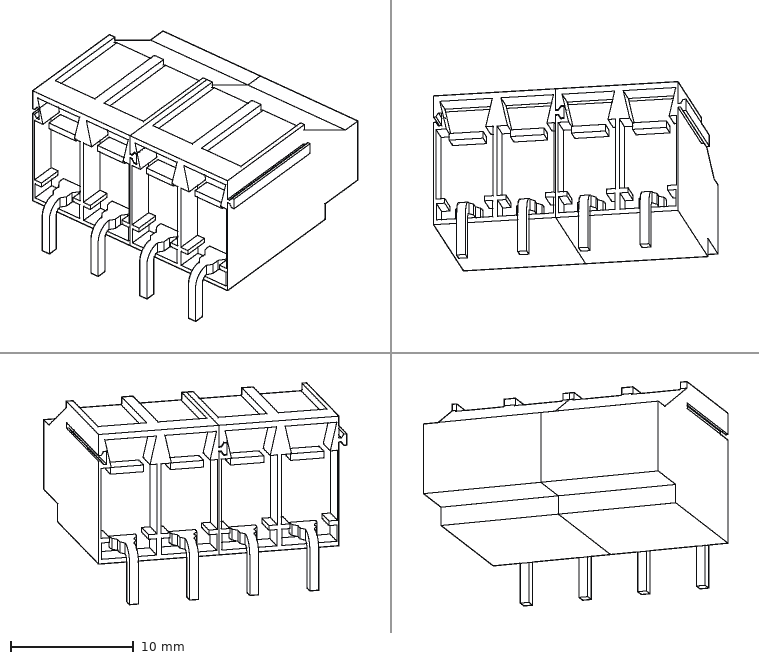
import cadquery as cq

MODULE_COUNT = 2
MODULE_WIDTH = 10.15
HOUSING_HEIGHT = 11.0
HOUSING_DEPTH = 17.07
TOP_DEPTH = 10.07
TOP_STEP = 0.57
REAR_LEDGE_HEIGHT = 7.47
REAR_LEDGE_DEPTH = 1.64
FOOT_DEPTH = 12.8
FOOT_HEIGHT = 1.55

POLES_PER_MODULE = 2
FIRST_POLE_X = 2.58
POLE_PITCH = 5.07

CAVITY_DEPTH = 2.18
CAVITY_WIDTH = 4.74
CAVITY_TOP = 8.12
LOWER_CAVITY_WIDTH = 4.65
LOWER_CAVITY_FLOOR = 0.4
RIB_BOTTOM = 1.78
RIB_TOP = 2.18
RIB_GAP = 3.3
FUNNEL_OFFSET = 0.13
FUNNEL_TOP = 10.5
FUNNEL_TOP_WIDTH = 4.36
FUNNEL_BOTTOM_WIDTH = 3.27

RECESS_OFFSET = 0.05
RECESS_WIDTH = 4.1
RECESS_FRONT = 2.26
RECESS_DROP = 0.71

DOVETAIL_LEVEL = 8.98
DOVETAIL_LENGTH = 9.96
DOVETAIL_NECK_HEIGHT = 0.34
DOVETAIL_HEAD_HEIGHT = 0.96
DOVETAIL_NECK_REACH = 0.2
DOVETAIL_HEAD_START = 0.42
DOVETAIL_REACH = 0.67
GROOVE_CLEARANCE = 0.06

TAB_WIDTH = 2.8
TAB_FRONT = 0.67
TAB_BOTTOM = 7.35
TAB_THICKNESS = 0.57

PIN_WIDTH = 0.75
PIN_THICKNESS = 0.92
PIN_TOP = 1.65
PIN_REACH = 1.5
PIN_DROP = 3.19
PIN_BEND_RADIUS = 1.4
PIN_WAIST_HALF_WIDTH = 0.7
PIN_WAIST_FRONT = 0.34
PIN_WAIST_REAR = 1.05
PIN_SHOULDER_HALF_WIDTH = 1.05
PIN_SHOULDER_Y = 1.5
PIN_ROOT_HALF_WIDTH = 1.11
PIN_ROOT_Y = 1.85

POLE_XS = [FIRST_POLE_X + pole * POLE_PITCH for pole in range(POLES_PER_MODULE)]


def block(x_range, y_range, z_range):
    """Box between two limits along each axis."""
    corners = list(zip(x_range, y_range, z_range))
    size = [high - low for low, high in zip(*corners)]
    return cq.Workplane("XY").box(*size, centered=False).translate(corners[0])


def centered_range(center, width):
    return center - width / 2, center + width / 2


def extrude_back(outline, depth):
    """Extrude a closed (x, z) outline from the front face toward +Y."""
    return cq.Workplane("XZ").polyline(outline).close().extrude(-depth)


def housing_blank():
    profile = [
        (0, 0),
        (FOOT_DEPTH, 0),
        (FOOT_DEPTH, FOOT_HEIGHT),
        (HOUSING_DEPTH, FOOT_HEIGHT),
        (HOUSING_DEPTH, REAR_LEDGE_HEIGHT),
        (HOUSING_DEPTH - REAR_LEDGE_DEPTH, REAR_LEDGE_HEIGHT),
        (TOP_DEPTH, HOUSING_HEIGHT - TOP_STEP),
        (TOP_DEPTH, HOUSING_HEIGHT),
        (0, HOUSING_HEIGHT),
    ]
    return cq.Workplane("YZ").polyline(profile).close().extrude(MODULE_WIDTH)


def pole_cavity(pole_x):
    """Front opening of one pole: wide chamber, funnel above it, rib gap and lower chamber below."""
    depth_range = (0, CAVITY_DEPTH)
    chamber = block(centered_range(pole_x, CAVITY_WIDTH), depth_range, (RIB_TOP, CAVITY_TOP))
    rib_gap = block(centered_range(pole_x, RIB_GAP), depth_range, (RIB_BOTTOM, RIB_TOP))
    lower_chamber = block(
        centered_range(pole_x, LOWER_CAVITY_WIDTH), depth_range, (LOWER_CAVITY_FLOOR, RIB_BOTTOM)
    )
    funnel_x = pole_x + FUNNEL_OFFSET
    bottom_left, bottom_right = centered_range(funnel_x, FUNNEL_BOTTOM_WIDTH)
    top_left, top_right = centered_range(funnel_x, FUNNEL_TOP_WIDTH)
    funnel = extrude_back(
        [
            (bottom_left, CAVITY_TOP),
            (bottom_right, CAVITY_TOP),
            (top_right, FUNNEL_TOP),
            (top_left, FUNNEL_TOP),
        ],
        CAVITY_DEPTH,
    )
    return chamber.union(funnel).union(rib_gap).union(lower_chamber)


def top_recess(pole_x):
    """Recess in the top face that runs out through the rear slope."""
    return block(
        centered_range(pole_x + RECESS_OFFSET, RECESS_WIDTH),
        (RECESS_FRONT, HOUSING_DEPTH),
        (HOUSING_HEIGHT - RECESS_DROP, HOUSING_HEIGHT),
    )


def dovetail(wall_x, clearance):
    """Dovetail bar pointing to +X from a wall, enlarged by a clearance when it is used as a groove."""
    half_neck = DOVETAIL_NECK_HEIGHT / 2 + clearance
    half_head = DOVETAIL_HEAD_HEIGHT / 2 + clearance
    upper_side = [
        (0, half_neck),
        (DOVETAIL_NECK_REACH, half_neck),
        (DOVETAIL_HEAD_START, half_head),
        (DOVETAIL_REACH, half_head),
    ]
    lower_side = [(x, -z) for x, z in reversed(upper_side)]
    outline = [(wall_x + x, DOVETAIL_LEVEL + z) for x, z in upper_side + lower_side]
    return extrude_back(outline, DOVETAIL_LENGTH)


def housing(module_x):
    body = housing_blank()
    for pole_x in POLE_XS:
        body = body.cut(pole_cavity(pole_x)).cut(top_recess(pole_x))
    body = body.cut(dovetail(0, GROOVE_CLEARANCE))
    body = body.union(dovetail(MODULE_WIDTH, 0))
    return body.translate((module_x, 0, 0))


def tab(pole_x):
    return block(
        centered_range(pole_x, TAB_WIDTH),
        (TAB_FRONT, CAVITY_DEPTH),
        (TAB_BOTTOM, TAB_BOTTOM + TAB_THICKNESS),
    )


def solder_pin(pole_x):
    """Pin with a waisted flat root in the cavity, bent down in front of the housing."""
    bend_y = PIN_BEND_RADIUS - PIN_REACH
    bend_z = PIN_TOP - PIN_BEND_RADIUS
    pin_bottom = PIN_TOP - PIN_THICKNESS

    right_side = [
        (PIN_WIDTH / 2, bend_y),
        (PIN_WAIST_HALF_WIDTH, PIN_WAIST_FRONT),
        (PIN_WAIST_HALF_WIDTH, PIN_WAIST_REAR),
        (PIN_SHOULDER_HALF_WIDTH, PIN_SHOULDER_Y),
        (PIN_ROOT_HALF_WIDTH, PIN_ROOT_Y),
        (PIN_ROOT_HALF_WIDTH, CAVITY_DEPTH),
    ]
    left_side = [(-x, y) for x, y in reversed(right_side)]
    root = (
        cq.Workplane("XY", origin=(0, 0, pin_bottom))
        .polyline(right_side + left_side)
        .close()
        .extrude(PIN_THICKNESS)
    )

    inner_radius = PIN_BEND_RADIUS - PIN_THICKNESS
    leg = (
        cq.Workplane("YZ", origin=(-PIN_WIDTH / 2, 0, 0))
        .moveTo(bend_y, PIN_TOP)
        .radiusArc((-PIN_REACH, bend_z), -PIN_BEND_RADIUS)
        .lineTo(-PIN_REACH, -PIN_DROP)
        .lineTo(-PIN_REACH + PIN_THICKNESS, -PIN_DROP)
        .lineTo(-PIN_REACH + PIN_THICKNESS, bend_z)
        .radiusArc((bend_y, pin_bottom), inner_radius)
        .close()
        .extrude(PIN_WIDTH)
    )
    return root.union(leg).translate((pole_x, 0, 0))


bodies = []
for module in range(MODULE_COUNT):
    module_x = module * MODULE_WIDTH
    bodies.append(housing(module_x).val())
    for pole_x in POLE_XS:
        bodies.append(tab(module_x + pole_x).val())
        bodies.append(solder_pin(module_x + pole_x).val())

result = cq.Compound.makeCompound(bodies)